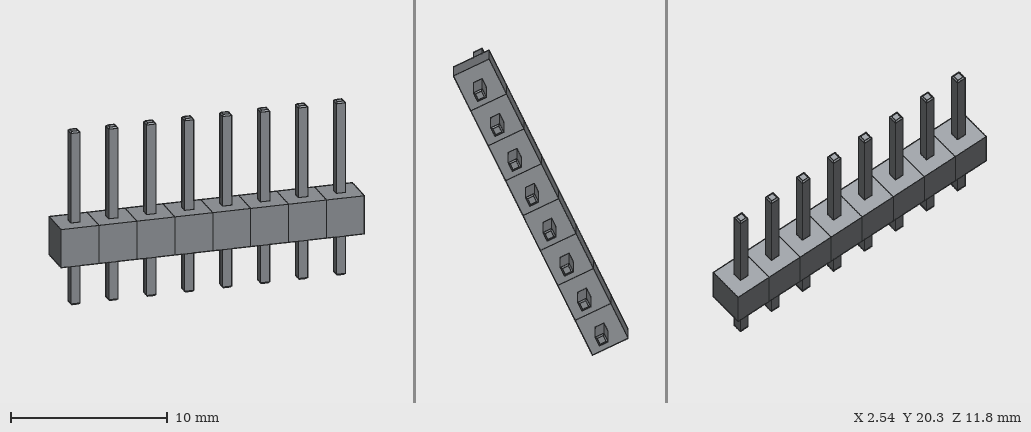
import cadquery as cq

PIN_COUNT = 8
ROW_LENGTH = 20.32
PITCH = ROW_LENGTH / PIN_COUNT

BLOCK_WIDTH = PITCH
BLOCK_HEIGHT = 2.6

PIN_SIDE = 0.63
PIN_LENGTH = 11.8
PIN_BELOW = 3.0
TIP_CHAMFER = 0.1


def make_block():
    """Block centred on the pin axis."""
    return cq.Workplane("XY").box(BLOCK_WIDTH, PITCH, BLOCK_HEIGHT, centered=(True, True, False))


def make_pin():
    """Square pin with all edges of both end faces chamfered."""
    return (
        cq.Workplane("XY")
        .workplane(offset=-PIN_BELOW)
        .box(PIN_SIDE, PIN_SIDE, PIN_LENGTH, centered=(True, True, False))
        .faces("<Z or >Z")
        .edges()
        .chamfer(TIP_CHAMFER)
    )


def make_pin_unit(y_center):
    """One header position: block and pin formed as a single solid."""
    return make_block().union(make_pin()).translate((0, y_center, 0))


first_y = (PITCH - ROW_LENGTH) / 2
pin_units = []
for index in range(PIN_COUNT):
    pin_units.append(make_pin_unit(first_y + index * PITCH).val())

result = cq.Compound.makeCompound(pin_units)